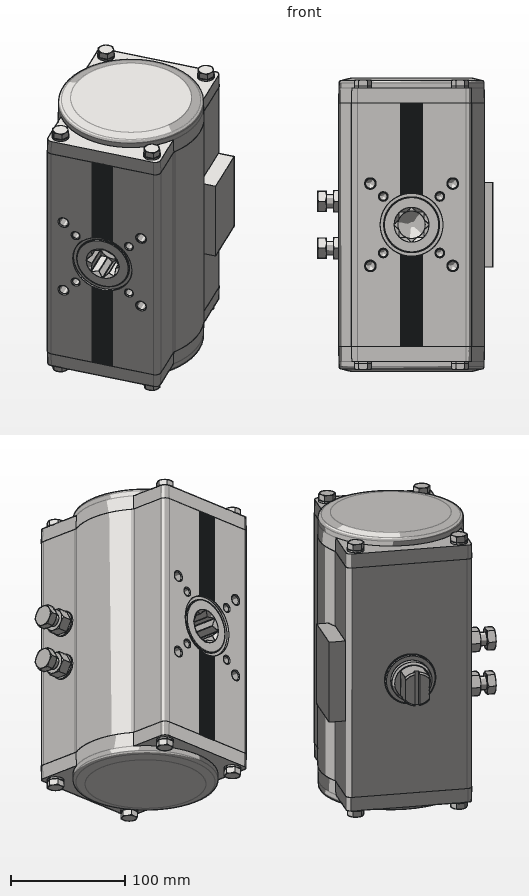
import cadquery as cq
import math


barrel_radius = 64.0
upper_half_width = 56.6
lower_half_width = 52.7
rear_face = 75.0
front_face = -75.0
corner_radius = 5.2
cap_rear_corner_radius = 4.4
cap_draft = 1.8
flank_blend = 5.0

housing_length = 213.4
cap_plate_height = 12.9
overall_length = 257.0
half_housing = housing_length / 2
dome_rim_radius = barrel_radius - cap_plate_height * math.tan(math.radians(cap_draft))
dome_height = overall_length / 2 - half_housing - cap_plate_height

dome_edge_height = 4.5
dome_shoulder_radius = 61.0
dome_shoulder_height = 6.9
dome_flat_radius = 53.0

rear_screw_x = 46.4
front_screw_x = 42.5
screw_y = 64.8
screw_flange_diameter = 15.0
screw_flange_height = 1.7
screw_head_width = 13.0
screw_head_height = 7.3

groove_count = 12
groove_pitch = 1.6
groove_depth = groove_pitch / 4

large_hole_offset = 102 / 2 * math.cos(math.radians(45))
small_hole_offset = 70 / 2 * math.cos(math.radians(45))
large_hole_diameter = 8.38
large_hole_mouth = 10.11
small_hole_diameter = 6.65
small_hole_mouth = 8.38
mount_hole_depth = 16.0
drill_half_angle = 59.0
recess_diameter = 55.0
recess_depth = 2.3

block_outer_x = 71.25
block_half_height = 37.2
block_y_low = 20.6
block_y_high = 69.2

rear_boss_height = 0.9
boss_top = rear_face + rear_boss_height
rear_wall = 8.0
bore_end = rear_face - rear_wall
pinion_diameter = 49.0
pinion_front = front_face + 1.0
pinion_chamfer = 0.75
collar_diameter = 45.5
collar_top = 78.4
collar_chamfer = 0.9
shoulder_diameter = 36.0
shoulder_top = 85.3
shoulder_chamfer = 2.0
neck_diameter = 21.5
neck_height = 0.8
stub_diameter = 31.4
stub_flat_width = neck_diameter
stub_chamfer = 1.6
pinion_top = 105.0
slot_width = 4.13
slot_depth = 4.6
star_square = 22.0
star_depth = 26.0
star_mouth_diameter = 30.5
star_inner_diameter = 24.0
star_mouth_depth = 3.0
star_cone_height = 7.0

stop_y = 45.3
stop_z = 20.5
stop_diameter = 12.0
stop_insertion = 12.0
stop_tip_x = stop_insertion - upper_half_width
stop_end_x = -82.3
stop_head_width = 18.0
stop_head_length = 7.7
nut_width = 19.0
nut_end_x = -68.5
nut_flange_diameter = 23.0
nut_flange_thickness = 1.6

hex_chamfer_slope = math.tan(math.radians(30))
hex_corner_ratio = 1 / math.cos(math.radians(30))


def profile(z_low, length, rear_radius, draft):
    """Barrel with a wider rear block and a narrower front block, extruded along Z."""
    start = cq.Workplane("XY", origin=(0, 0, z_low))
    shape = start.circle(barrel_radius).extrude(length, taper=draft)
    for half_width, half_depth, radius, side in (
        (upper_half_width, rear_face, rear_radius, 1),
        (lower_half_width, -front_face, corner_radius, -1),
    ):
        outline = cq.Sketch().rect(2 * half_width, 2 * half_depth).vertices().fillet(radius)
        block = start.placeSketch(outline).extrude(length, taper=draft)
        shape = shape.union(block.intersect(half_space(z_low, length, side)))
    return shape


def half_space(z_low, length, side):
    """Box covering only the rear (side = 1) or front (side = -1) half of the profile."""
    reach = 2 * barrel_radius
    return (
        cq.Workplane("XY", origin=(0, side * reach / 2, z_low))
        .rect(2 * reach, reach)
        .extrude(length)
    )


def front_cylinder(diameter, y_start, y_end):
    """Cylinder on the pinion axis between two Y positions."""
    return (
        cq.Workplane("XZ", origin=(0, y_start, 0))
        .circle(diameter / 2)
        .extrude(y_start - y_end)
    )


def mount_hole(diameter, mouth):
    """Blind drilled hole with a chamfered mouth, revolved about Y at the origin."""
    radius = diameter / 2
    mouth_depth = (mouth - diameter) / 2
    cone_depth = radius / math.tan(math.radians(drill_half_angle))
    return (
        cq.Workplane("XY")
        .moveTo(0, 0)
        .lineTo(mouth / 2, 0)
        .lineTo(radius, mouth_depth)
        .lineTo(radius, mount_hole_depth)
        .lineTo(0, mount_hole_depth + cone_depth)
        .close()
        .revolve(360, (0, 0, 0), (0, 1, 0))
    )


def grip_grooves():
    """Adjoining V grooves along the whole front face."""
    grooves = []
    for i in range(groove_count):
        x = (i - (groove_count - 1) / 2) * groove_pitch
        groove = (
            cq.Workplane("XY", origin=(x, front_face, -half_housing))
            .polyline([(-groove_pitch / 2, 0), (groove_pitch / 2, 0), (0, groove_depth)])
            .close()
            .extrude(housing_length)
        )
        grooves.append(groove)
    return grooves


def stop_positions():
    """Y and Z of the two stop screw axes."""
    return [(stop_y, stop_z), (stop_y, -stop_z)]


def make_housing():
    housing = profile(-half_housing, housing_length, corner_radius, 0)
    junctions = [
        (sign * half_width, side * math.sqrt(barrel_radius**2 - half_width**2), 0)
        for half_width, side in ((upper_half_width, 1), (lower_half_width, -1))
        for sign in (1, -1)
    ]
    for point in junctions:
        housing = housing.edges(cq.selectors.NearestToPointSelector(point)).fillet(flank_blend)

    block = cq.Workplane("XY").box(
        block_outer_x, block_y_high - block_y_low, 2 * block_half_height, centered=(False, False, True)
    )
    housing = housing.union(block.translate((0, block_y_low, 0)))

    for groove in grip_grooves():
        housing = housing.cut(groove)

    for offset, diameter, mouth in (
        (large_hole_offset, large_hole_diameter, large_hole_mouth),
        (small_hole_offset, small_hole_diameter, small_hole_mouth),
    ):
        hole = mount_hole(diameter, mouth)
        for x in (offset, -offset):
            for z in (offset, -offset):
                housing = housing.cut(hole.translate((x, front_face, z)))

    housing = housing.union(front_cylinder(collar_diameter, bore_end, boss_top))

    housing = housing.cut(front_cylinder(recess_diameter, front_face, front_face + recess_depth))
    housing = housing.cut(front_cylinder(pinion_diameter, front_face, bore_end))
    housing = housing.cut(front_cylinder(shoulder_diameter, bore_end, boss_top))

    for y, z in stop_positions():
        hole = cq.Workplane("YZ", origin=(stop_tip_x, y, z)).circle(stop_diameter / 2)
        housing = housing.cut(hole.extrude(stop_end_x - stop_tip_x))
    return housing


def cap_screw_head():
    """Flanged hexagon head standing on Z = 0, its upper corners rounded off."""
    corner_diameter = screw_head_width * hex_corner_ratio
    flange = cq.Workplane("XY").circle(screw_flange_diameter / 2).extrude(screw_flange_height)
    head = cq.Workplane("XY").polygon(6, corner_diameter).extrude(screw_head_height)
    corner_drop = (corner_diameter - screw_head_width) / 2 * hex_chamfer_slope
    crown = (
        cq.Workplane("XY")
        .circle(corner_diameter / 2)
        .extrude(screw_head_height)
        .faces(">Z")
        .chamfer(corner_drop, corner_drop / hex_chamfer_slope)
    )
    return head.intersect(crown).union(flange)


def make_upper_cap():
    cap = profile(half_housing, cap_plate_height, cap_rear_corner_radius, cap_draft)
    plate_top = half_housing + cap_plate_height
    dome = (
        cq.Workplane("XZ")
        .moveTo(0, 0)
        .lineTo(dome_rim_radius, 0)
        .lineTo(dome_rim_radius, dome_edge_height)
        .tangentArcPoint((dome_shoulder_radius, dome_shoulder_height), relative=False)
        .lineTo(dome_flat_radius, dome_height)
        .lineTo(0, dome_height)
        .close()
        .revolve(360, (0, 0, 0), (0, 1, 0))
        .translate((0, 0, plate_top))
    )
    cap = cap.union(dome)
    for screw_x, y in ((rear_screw_x, screw_y), (front_screw_x, -screw_y)):
        for x in (screw_x, -screw_x):
            cap = cap.union(cap_screw_head().translate((x, y, plate_top)))
    return cap


def make_pinion():
    body = front_cylinder(pinion_diameter, pinion_front, bore_end).faces("<Y").chamfer(pinion_chamfer)
    collar = front_cylinder(collar_diameter, boss_top, collar_top).faces(">Y").chamfer(collar_chamfer)
    shoulder = (
        front_cylinder(shoulder_diameter, bore_end, shoulder_top).faces(">Y").chamfer(shoulder_chamfer)
    )
    neck_top = shoulder_top + neck_height
    neck = front_cylinder(neck_diameter, shoulder_top, neck_top)

    stub_length = pinion_top - neck_top
    stub_middle = (pinion_top + neck_top) / 2
    flats = cq.Workplane("XY").box(stub_flat_width, stub_length, stub_diameter)
    slot = cq.Workplane("XY").box(slot_width, 2 * slot_depth, stub_diameter)
    stub = (
        front_cylinder(stub_diameter, neck_top, pinion_top)
        .faces(">Y")
        .chamfer(stub_chamfer)
        .intersect(flats.translate((0, stub_middle, 0)))
        .cut(slot.translate((0, pinion_top, 0)))
    )
    pinion = body.union(collar).union(shoulder).union(neck).union(stub)

    for angle in (0, 45):
        square = (
            cq.Workplane("XZ", origin=(0, pinion_front, 0))
            .transformed(rotate=(0, 0, angle))
            .rect(star_square, star_square)
            .extrude(-star_depth)
        )
        pinion = pinion.cut(square.intersect(front_cylinder(star_mouth_diameter, pinion_front, rear_face)))
    socket_profile = (
        cq.Workplane("XY")
        .moveTo(0, pinion_front)
        .lineTo(star_mouth_diameter / 2, pinion_front)
        .lineTo(star_inner_diameter / 2, pinion_front + star_mouth_depth)
        .lineTo(star_inner_diameter / 2, pinion_front + star_depth)
        .lineTo(0, pinion_front + star_depth + star_cone_height)
        .close()
    )
    return pinion.cut(socket_profile.revolve(360, (0, 0, 0), (0, 1, 0)))


def hexagon_bar(width, x_start, x_end, rounded_ends):
    """Hexagon along X with its corners on +Y and -Y, rounded off at the selected ends."""
    corner_diameter = width * hex_corner_ratio
    length = x_end - x_start
    corner_drop = (corner_diameter - width) / 2 * hex_chamfer_slope
    crown = (
        cq.Workplane("YZ", origin=(x_start, 0, 0))
        .circle(corner_diameter / 2)
        .extrude(length)
        .faces(rounded_ends)
        .chamfer(corner_drop, corner_drop / hex_chamfer_slope)
    )
    bar = cq.Workplane("YZ", origin=(x_start, 0, 0)).polygon(6, corner_diameter).extrude(length)
    return bar.intersect(crown)


def make_stop_screw(y, z):
    head_inner_x = stop_end_x + stop_head_length
    head = hexagon_bar(stop_head_width, stop_end_x, head_inner_x, "|X")
    shank = (
        cq.Workplane("YZ", origin=(head_inner_x, 0, 0))
        .circle(stop_diameter / 2)
        .extrude(stop_tip_x - head_inner_x)
    )
    return head.union(shank).translate((0, y, z))


def make_lock_nut(y, z):
    seat_x = -upper_half_width
    nut = hexagon_bar(nut_width, nut_end_x, seat_x, "<X")
    flange = (
        cq.Workplane("YZ", origin=(seat_x, 0, 0))
        .circle(nut_flange_diameter / 2)
        .extrude(-nut_flange_thickness)
    )
    thread = (
        cq.Workplane("YZ", origin=(seat_x, 0, 0))
        .circle(stop_diameter / 2)
        .extrude(nut_end_x - seat_x)
    )
    return nut.union(flange).cut(thread).translate((0, y, z))


housing = make_housing()
upper_cap = make_upper_cap()
lower_cap = upper_cap.mirror("XY")
pinion = make_pinion()
stop_screws = [make_stop_screw(y, z) for y, z in stop_positions()]
lock_nuts = [make_lock_nut(y, z) for y, z in stop_positions()]

result = cq.Compound.makeCompound(
    [housing.val(), upper_cap.val(), lower_cap.val(), pinion.val()]
    + [screw.val() for screw in stop_screws]
    + [nut.val() for nut in lock_nuts]
)